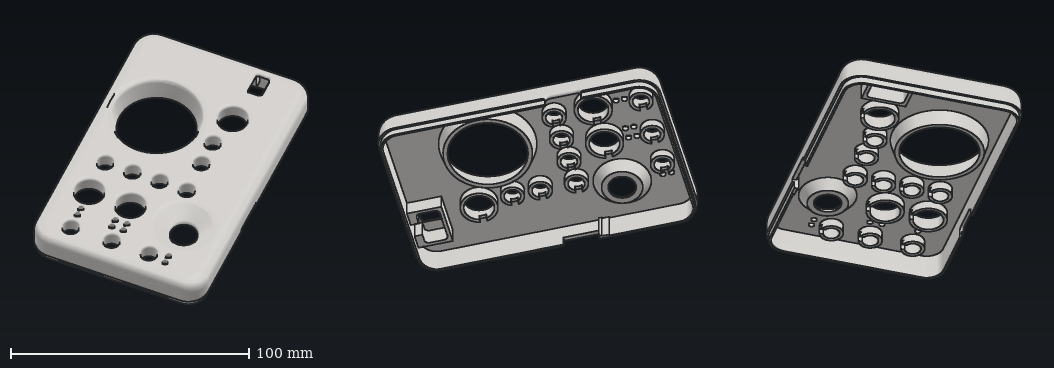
import cadquery as cq
import math

LENGTH_X = 79.0
LENGTH_Y = 122.0
HEIGHT = 14.4
CORNER_RADIUS = 9.3
TOP_ROUND = 5.0
WALL = 2.0
TOP_THICKNESS = 3.0
CEILING = HEIGHT - TOP_THICKNESS

LIP_HEIGHT = 3.0
LIP_INSET = 0.92
LIP_TAPER = 2.0

BEAD_LENGTH = 20.0
BEAD_HEIGHT = 0.9
BEAD_REACH = 0.5
BEAD_ROOT = 0.5
BEAD_SPACING = 29.2
BEAD_MIDDLE_X = -0.4

NOTCH_WIDTH = 15.6
NOTCH_HEIGHT = 4.4
NOTCH_REACH = 7.8
LEFT_NOTCH_Y = -20.7
LEFT_NOTCH_CORNER = 2.1
LEFT_NOTCH_ROUND = 1.5
RIGHT_NOTCH_Y = -9.0

PAD_STEP = 0.5
PAD_LENGTHS = [4.4, 1.2]

SWITCH_X, SWITCH_Y = 18.2, 50.6
SWITCH_WIDTH = 6.3
SWITCH_LENGTH = 10.0
SWITCH_CORNER = 1.2
SWITCH_ROUND = 1.8
SWITCH_POCKET_WIDTH = 16.3
SWITCH_POCKET_CORNER = 1.8
SWITCH_POCKET_ROOF = 12.5
SWITCH_HOUSING_BOTTOM = 4.5

BUTTON_DIAMETER = 12.8
BUTTON_ROW_Y = -30.3
BUTTON_CENTERS = [(15.4, 29.5), (-24.4, BUTTON_ROW_Y), (-5.5, BUTTON_ROW_Y)]
KEY_DIAMETER = 7.0
KEY_ROW_PITCH = 12.5
KEY_CENTERS = [(12.8, 14.4), (12.8, 2.3)]
KEY_CENTERS += [(-24.4 + i * KEY_ROW_PITCH, -13.3) for i in range(4)]
KEY_CENTERS += [(x, -50.9) for x in (-23.9, -5.2, 11.8)]
RIM_ROUND = 1.6

KEY_COLLAR_DIAMETER = 10.0
COLLAR_WALL = (KEY_COLLAR_DIAMETER - KEY_DIAMETER) / 2
COLLAR_BOTTOM = 7.5
COLLAR_SLOT_WIDTH = 3.0
COLLAR_SLOT_HEIGHT = 2.5

LIGHT_DIAMETER = 2.5
LIGHT_ROUND = 0.7
LIGHT_PITCH = 3.7
LIGHT_PAIR_CENTERS = [(-23.9, -41.8), (-8.2, -41.8), (-2.9, -41.8), (20.0, -50.8)]

WHEEL_X, WHEEL_Y = -14.4, 18.0
WHEEL_RIM_RADIUS = 21.6
WHEEL_ROUND = 2.7
WHEEL_CONE_BOTTOM_RADIUS = 16.8
WHEEL_SLOPE = 73.6
STICK_X, STICK_Y = 19.4, -31.5
STICK_RIM_RADIUS = 14.3
STICK_ROUND = 3.2
STICK_CONE_BOTTOM_RADIUS = 6.7
STICK_SLOPE = 40.0
STICK_THROAT_ROUND = 2.5


def block(size_x, size_y, z_bottom, z_top, x=0.0, y=0.0):
    """Box centred on (x, y) between two heights."""
    return cq.Workplane("XY", origin=(x, y, z_bottom)).rect(size_x, size_y).extrude(z_top - z_bottom)


def body_prism(inset, z_bottom, z_top):
    """Prism of the body outline moved inwards by inset."""
    prism = block(LENGTH_X - 2 * inset, LENGTH_Y - 2 * inset, z_bottom, z_top)
    return prism.edges("|Z").fillet(CORNER_RADIUS - inset)


def lip_prism(inset, taper):
    """Prism of lip height that starts at the inset outline on top and shrinks downwards."""
    outline = (
        cq.Sketch()
        .rect(LENGTH_X - 2 * inset, LENGTH_Y - 2 * inset)
        .vertices()
        .fillet(CORNER_RADIUS - inset)
    )
    prism = cq.Workplane("XY").placeSketch(outline).extrude(LIP_HEIGHT, taper=taper)
    return prism.mirror("XY").translate((0, 0, LIP_HEIGHT))


def cavity(inset):
    """Inner space that widens towards the open side within the lip."""
    return body_prism(inset, LIP_HEIGHT, CEILING).union(lip_prism(inset, -LIP_TAPER))


def revolved(x, y, profile):
    """Solid of a closed (radius, height) profile turned about the vertical through (x, y)."""
    return profile.close().revolve(360, (0, 0, 0), (0, 1, 0)).translate((x, y, 0))


def rimmed_hole(x, y, diameter, rim_round):
    """Cutter for a through hole whose top edge is rounded."""
    radius = diameter / 2
    rim = radius + rim_round
    sag = rim_round * (1 - math.sqrt(0.5))
    profile = (
        cq.Workplane("XZ")
        .lineTo(radius, 0)
        .lineTo(radius, HEIGHT - rim_round)
        .threePointArc((radius + sag, HEIGHT - sag), (rim, HEIGHT))
        .lineTo(0, HEIGHT)
    )
    return revolved(x, y, profile)


def cone_opening(x, y, rim, rim_round, cone_bottom, slope, throat_round=0.0):
    """Cutter for a conical opening with a rounded rim, and the solid that leaves its skin."""
    angle = math.radians(slope)
    cone_top = rim - rim_round * math.sin(angle)
    cone_top_z = HEIGHT - rim_round * (1 - math.cos(angle))
    rim_middle = (
        rim - rim_round * math.sin(angle / 2),
        HEIGHT - rim_round * (1 - math.cos(angle / 2)),
    )
    cone_bottom_z = cone_top_z - (cone_top - cone_bottom) * math.tan(angle)
    throat = cone_bottom
    throat_z = cone_bottom_z
    cutter = (
        cq.Workplane("XZ")
        .moveTo(0, HEIGHT)
        .lineTo(rim, HEIGHT)
        .threePointArc(rim_middle, (cone_top, cone_top_z))
        .lineTo(cone_bottom, cone_bottom_z)
    )
    if throat_round > 0:
        arc_center = cone_bottom + throat_round * math.sin(angle)
        throat = arc_center - throat_round
        throat_z = cone_bottom_z - throat_round * math.cos(angle)
        middle_angle = (angle + math.pi / 2) / 2
        throat_middle = (
            arc_center - throat_round * math.sin(middle_angle),
            throat_z + throat_round * math.cos(middle_angle),
        )
        cutter = cutter.threePointArc(throat_middle, (throat, throat_z))
    cutter = cutter.lineTo(throat, 0).lineTo(0, 0)
    skin = (
        cq.Workplane("XZ")
        .moveTo(0, throat_z)
        .lineTo(cone_bottom + WALL, throat_z)
        .lineTo(cone_top + WALL, cone_top_z)
        .lineTo(0, cone_top_z)
    )
    return revolved(x, y, cutter), revolved(x, y, skin)


def switch_opening():
    """Cutter for the switch opening in the top."""
    prism = block(SWITCH_WIDTH, SWITCH_LENGTH, 0, HEIGHT, SWITCH_X, SWITCH_Y)
    return prism.edges("|Z").fillet(SWITCH_CORNER)


def switch_housing():
    """Walls around the switch and the pocket inside them, which runs on to the +Y wall."""
    bottom = SWITCH_HOUSING_BOTTOM
    roof = SWITCH_POCKET_ROOF
    inner_wall_y = LENGTH_Y / 2 - WALL
    start_y = SWITCH_Y - SWITCH_LENGTH / 2 - COLLAR_WALL
    housing_width = SWITCH_POCKET_WIDTH + 2 * COLLAR_WALL
    housing_y = (inner_wall_y + start_y) / 2
    housing = block(housing_width, inner_wall_y - start_y, bottom, CEILING, SWITCH_X, housing_y)
    pocket = block(SWITCH_POCKET_WIDTH, SWITCH_LENGTH, bottom, roof, SWITCH_X, SWITCH_Y)
    pocket = pocket.edges("|Z").fillet(SWITCH_POCKET_CORNER)
    gap_length = inner_wall_y - SWITCH_Y
    gap = block(SWITCH_WIDTH, gap_length, bottom, roof, SWITCH_X, SWITCH_Y + gap_length / 2)
    return housing, pocket.union(gap)


def edges_within(size_x, size_y, z_bottom, z_top, x, y):
    """Selector for the edges whose centres lie in a box."""
    low = (x - size_x / 2, y - size_y / 2, z_bottom)
    high = (x + size_x / 2, y + size_y / 2, z_top)
    return cq.selectors.BoxSelector(low, high)


def slotted_collar(x, y, diameter):
    """Round collar below the top plate with a slot in its lower edge towards +X."""
    outer = diameter / 2 + COLLAR_WALL
    slot_top = COLLAR_BOTTOM + COLLAR_SLOT_HEIGHT
    collar = cq.Workplane("XY", origin=(x, y, COLLAR_BOTTOM)).circle(outer).extrude(CEILING - COLLAR_BOTTOM)
    return collar.cut(block(outer, COLLAR_SLOT_WIDTH, COLLAR_BOTTOM, slot_top, x + outer / 2, y))


def snap_bead(x):
    """Wedge along the lower edge of the -Y lip, flat on top and sloped below."""
    lip_edge = -LENGTH_Y / 2 + LIP_INSET + LIP_HEIGHT * math.tan(math.radians(LIP_TAPER))
    root = lip_edge + BEAD_ROOT
    profile = [(lip_edge, 0), (lip_edge - BEAD_REACH, BEAD_HEIGHT), (root, BEAD_HEIGHT), (root, 0)]
    wedge = cq.Workplane("YZ", origin=(x, 0, 0)).polyline(profile).close()
    return wedge.extrude(BEAD_LENGTH / 2, both=True)


side_x = LENGTH_X / 2
selection_gap = 0.2

body = body_prism(0, 0, HEIGHT).faces(">Z").edges().fillet(TOP_ROUND)

body = body.cut(switch_opening())
switch_rim = edges_within(
    SWITCH_WIDTH + selection_gap, SWITCH_LENGTH + selection_gap,
    HEIGHT - SWITCH_ROUND, HEIGHT + selection_gap, SWITCH_X, SWITCH_Y,
)
body = body.edges(switch_rim).fillet(SWITCH_ROUND)

left_notch = block(2 * NOTCH_REACH, NOTCH_WIDTH, -NOTCH_HEIGHT, NOTCH_HEIGHT, -side_x, LEFT_NOTCH_Y)
body = body.cut(left_notch.edges("|X").fillet(LEFT_NOTCH_CORNER))
notch_rim = edges_within(
    selection_gap, NOTCH_WIDTH + selection_gap,
    selection_gap, NOTCH_HEIGHT + selection_gap, -side_x, LEFT_NOTCH_Y,
)
body = body.edges(notch_rim).fillet(LEFT_NOTCH_ROUND)

pad_end_y = RIGHT_NOTCH_Y - NOTCH_WIDTH / 2
hollow = cavity(WALL)
for level, length in enumerate(PAD_LENGTHS, start=1):
    pad_zone = block(2 * NOTCH_REACH, length, 0, CEILING, side_x, pad_end_y - length / 2)
    hollow = hollow.cut(pad_zone.cut(cavity(WALL + level * PAD_STEP)))
body = body.cut(hollow)

lip_surround = block(2 * LENGTH_X, 2 * LENGTH_Y, 0, LIP_HEIGHT)
body = body.cut(lip_surround.cut(lip_prism(LIP_INSET, LIP_TAPER)))
for direction in (-1, 1):
    body = body.union(snap_bead(BEAD_MIDDLE_X + direction * BEAD_SPACING / 2))

body = body.cut(block(2 * NOTCH_REACH, NOTCH_WIDTH, 0, NOTCH_HEIGHT, side_x, RIGHT_NOTCH_Y))

round_holes = [(x, y, BUTTON_DIAMETER) for x, y in BUTTON_CENTERS]
round_holes += [(x, y, KEY_DIAMETER) for x, y in KEY_CENTERS]
for x, y, diameter in round_holes:
    body = body.union(slotted_collar(x, y, diameter))
switch_walls, switch_pocket = switch_housing()
body = body.union(switch_walls).cut(switch_pocket)

wheel_cutter, wheel_skin = cone_opening(
    WHEEL_X, WHEEL_Y, WHEEL_RIM_RADIUS, WHEEL_ROUND, WHEEL_CONE_BOTTOM_RADIUS, WHEEL_SLOPE
)
stick_cutter, stick_skin = cone_opening(
    STICK_X, STICK_Y, STICK_RIM_RADIUS, STICK_ROUND, STICK_CONE_BOTTOM_RADIUS, STICK_SLOPE, STICK_THROAT_ROUND
)
skin_limit = body_prism(WALL / 2, 0, HEIGHT - TOP_THICKNESS / 2)
body = body.union(wheel_skin.intersect(skin_limit)).union(stick_skin.intersect(skin_limit))
body = body.cut(wheel_cutter).cut(stick_cutter)

for x, y, diameter in round_holes:
    body = body.cut(rimmed_hole(x, y, diameter, RIM_ROUND))
for x, y in LIGHT_PAIR_CENTERS:
    for direction in (-1, 1):
        light_y = y + direction * LIGHT_PITCH / 2
        body = body.cut(rimmed_hole(x, light_y, LIGHT_DIAMETER, LIGHT_ROUND))

result = body